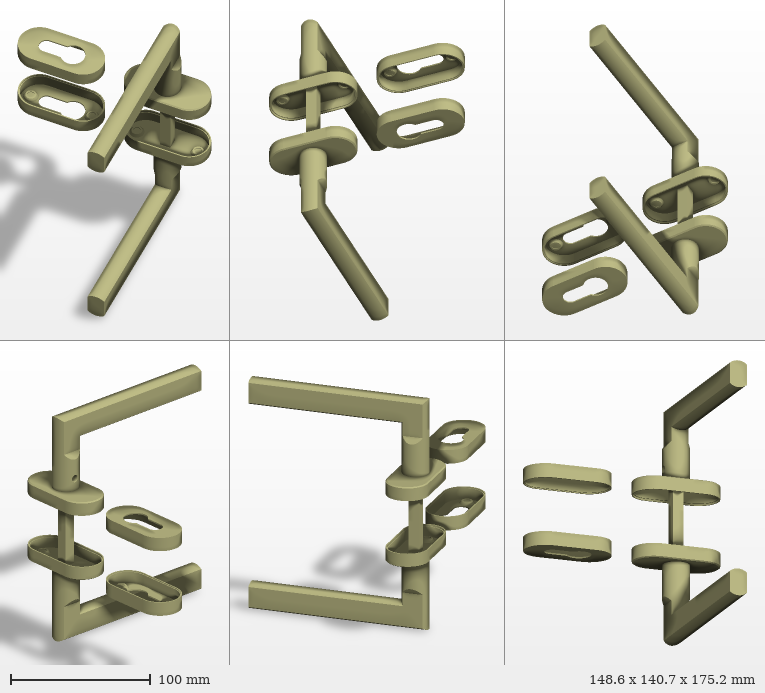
import cadquery as cq

TOTAL_HEIGHT = 175.2
TOTAL_DEPTH = 140.7
TOTAL_LENGTH = 148.6
DOOR_THICKNESS = 40.3

ROSETTE_LENGTH = 65.5
ROSETTE_WIDTH = 31.5
ROSETTE_HEIGHT = 10.3
ROSETTE_SPACING = TOTAL_LENGTH - ROSETTE_LENGTH
FLOOR = 1.0
WALL = 1.5
LIP_WALL = 0.9
KEY_LIP_DEPTH = 0.7
HANDLE_LIP_DEPTH = 1.4
RIM_CHAMFER_SIDE = 1.0
RIM_CHAMFER_HEIGHT = 0.7

POST_OFFSET = 24.0
POST_BASE_DIAMETER = 10.9
POST_TIP_DIAMETER = 7.9
POST_HEIGHT = 2.0
POST_RECESS_DIAMETER = 5.3
POST_RECESS_DEPTH = 0.5

KEYHOLE_DIAMETER = 17.9
KEYHOLE_OFFSET = 9.0
KEY_SLOT_WIDTH = 11.2
KEY_SLOT_END = -17.3

BAR_DIAMETER = 20.0
COLLAR_DIAMETER = 21.0
FLAT_WIDTH = 13.0
FLAT_START = 59.5
FLAT_SLOPE_HEIGHT = 4.5

SPINDLE_SIZE = 8.0
SPINDLE_END = 45.5
SET_SCREW_Z = 40.0
SET_SCREW_DIAMETER = 4.9
SET_SCREW_CHAMFER = 0.4

DOOR_FACE = DOOR_THICKNESS / 2
ROSETTE_TOP = DOOR_FACE + ROSETTE_HEIGHT
FLOOR_FACE = ROSETTE_TOP - FLOOR
BAR_RADIUS = BAR_DIAMETER / 2
ARM_AXIS_Z = TOTAL_HEIGHT / 2 - BAR_RADIUS
ARM_LENGTH = TOTAL_DEPTH - ROSETTE_WIDTH / 2


def mirrored(body):
    """Return the copy for the other side of the door."""
    return body.mirror("XY")


def oblong(length, width, bottom, top):
    """Solid with straight sides and round ends, between two heights."""
    return cq.Workplane("XY").workplane(offset=bottom).slot2D(length, width).extrude(top - bottom)


def cup(lip_depth):
    """Oblong cup on the upper door face, open downward, with a thinner lip around the opening."""
    body = oblong(ROSETTE_LENGTH, ROSETTE_WIDTH, DOOR_FACE, ROSETTE_TOP)
    for wall, top in ((WALL, FLOOR_FACE), (LIP_WALL, DOOR_FACE + lip_depth)):
        body = body.cut(oblong(ROSETTE_LENGTH - 2 * wall, ROSETTE_WIDTH - 2 * wall, DOOR_FACE, top))
    return body


def post(side):
    """Post with a cylindrical root in the rosette floor and a recessed conical tip below it."""
    tip_z = FLOOR_FACE - POST_HEIGHT
    recess_z = tip_z + POST_RECESS_DEPTH
    return (
        cq.Workplane("XZ")
        .moveTo(0, ROSETTE_TOP)
        .lineTo(POST_BASE_DIAMETER / 2, ROSETTE_TOP)
        .lineTo(POST_BASE_DIAMETER / 2, FLOOR_FACE)
        .lineTo(POST_TIP_DIAMETER / 2, tip_z)
        .lineTo(POST_RECESS_DIAMETER / 2, tip_z)
        .lineTo(POST_RECESS_DIAMETER / 2, recess_z)
        .lineTo(0, recess_z)
        .close()
        .revolve(360, (0, 0, 0), (0, 1, 0))
        .translate((side * POST_OFFSET, 0, 0))
    )


def key_rosette():
    """Cup with two posts and a keyhole through its floor."""
    body = cup(KEY_LIP_DEPTH)
    for side in (-1, 1):
        body = body.union(post(side))
    top = cq.Workplane("XY").workplane(offset=ROSETTE_TOP)
    round_hole = top.center(KEYHOLE_OFFSET, 0).circle(KEYHOLE_DIAMETER / 2).extrude(-FLOOR)
    slot_length = KEYHOLE_OFFSET - KEY_SLOT_END + KEY_SLOT_WIDTH / 2
    slot_center = KEY_SLOT_END + slot_length / 2
    slot = top.center(slot_center, 0).slot2D(slot_length, KEY_SLOT_WIDTH).extrude(-FLOOR)
    return body.cut(round_hole).cut(slot).translate((-ROSETTE_SPACING, 0, 0))


def collar():
    """Short disc of the handle that fills the hole in the rosette floor."""
    return cq.Workplane("XY").workplane(offset=FLOOR_FACE).circle(COLLAR_DIAMETER / 2).extrude(FLOOR)


def handle_rosette():
    """Cup with a chamfered outer edge and a round hole for the handle collar."""
    body = cup(HANDLE_LIP_DEPTH)
    body = body.faces(">Z").edges().chamfer(RIM_CHAMFER_HEIGHT, RIM_CHAMFER_SIDE)
    return body.cut(collar())


def spindle():
    """Square bar that joins the two handles."""
    return cq.Workplane("XY").rect(SPINDLE_SIZE, SPINDLE_SIZE).extrude(SPINDLE_END, both=True)


def handle():
    """Upper lever: mitred round bar with flats and a collar, with a square socket for the spindle."""
    path = cq.Workplane("YZ").moveTo(0, FLOOR_FACE).lineTo(0, ARM_AXIS_Z).lineTo(-ARM_LENGTH, ARM_AXIS_Z)
    start = cq.Workplane("XY").workplane(offset=FLOOR_FACE)
    bar = start.circle(BAR_RADIUS).sweep(path, transition="right")
    half_flat = FLAT_WIDTH / 2
    envelope = (
        cq.Workplane("XZ", origin=(0, BAR_RADIUS, 0))
        .moveTo(0, FLOOR_FACE)
        .lineTo(BAR_RADIUS, FLOOR_FACE)
        .lineTo(BAR_RADIUS, FLAT_START - FLAT_SLOPE_HEIGHT)
        .lineTo(half_flat, FLAT_START)
        .lineTo(half_flat, TOTAL_HEIGHT / 2)
        .lineTo(0, TOTAL_HEIGHT / 2)
        .mirrorY()
        .extrude(ARM_LENGTH + BAR_RADIUS)
    )
    return bar.intersect(envelope).union(collar()).cut(spindle())


def with_set_screw_hole(body):
    """Bore the set screw hole from the -X side down to the spindle."""
    start = cq.Workplane("YZ", origin=(-BAR_RADIUS, 0, SET_SCREW_Z))
    hole = start.circle(SET_SCREW_DIAMETER / 2).extrude(BAR_RADIUS - SPINDLE_SIZE / 2)
    bored = body.cut(hole)
    mouth = bored.edges(cq.selectors.NearestToPointSelector((-BAR_RADIUS, 0, SET_SCREW_Z)))
    return mouth.chamfer(SET_SCREW_CHAMFER)


upper_key_rosette = key_rosette()
lower_key_rosette = mirrored(upper_key_rosette)

upper_posts = [post(side) for side in (-1, 1)]
upper_handle_rosette = handle_rosette()
lower_handle_rosette = mirrored(upper_handle_rosette)
for upper_post in upper_posts:
    upper_handle_rosette = upper_handle_rosette.cut(upper_post)
    lower_handle_rosette = lower_handle_rosette.union(mirrored(upper_post))

upper_handle = with_set_screw_hole(handle())
lower_handle = mirrored(handle())

bodies = [
    upper_key_rosette,
    lower_key_rosette,
    upper_handle_rosette,
    lower_handle_rosette,
    *upper_posts,
    upper_handle,
    lower_handle,
    spindle(),
]
result = cq.Compound.makeCompound([body.solids().val() for body in bodies])